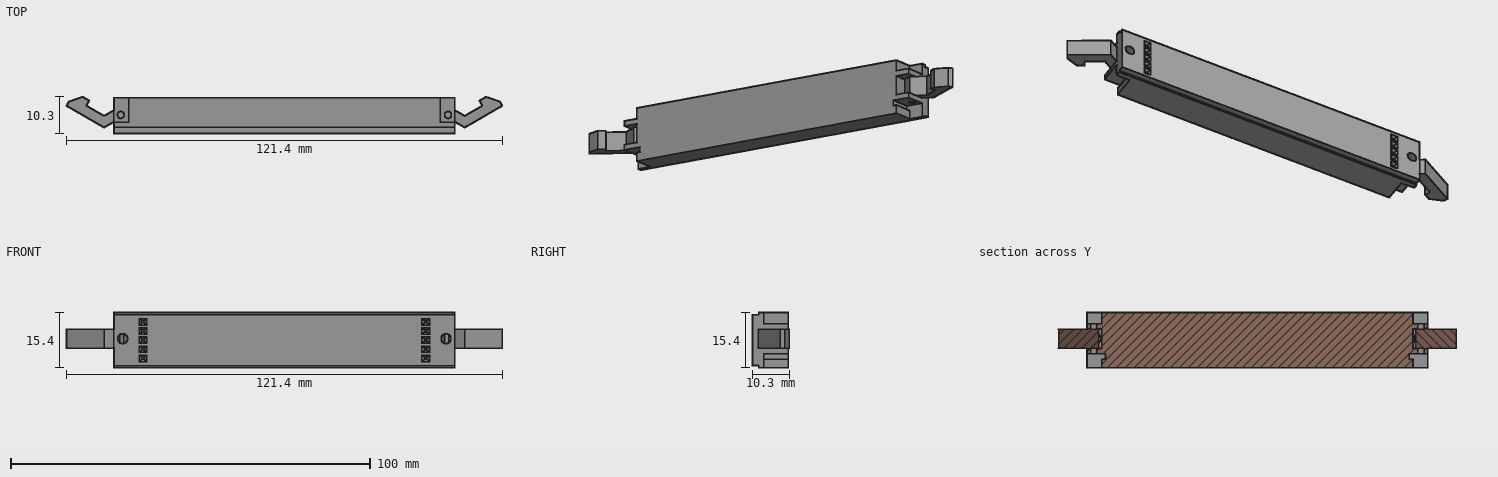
import cadquery as cq
import math

length = 94.9
depth = 10.0
height = 15.4
front_plate_height = 14.2
front_step_depth = 1.7

recess_length = 4.1
recess_front = 3.15
lever_height = 5.4
ear_thickness = 1.5
lever_centre_z = 0.4
undercut_height = 1.5
undercut_length = 1.0

screw_hole_diameter = 2.75
screw_hole_spacing = 90.0
pivot_hole_diameter = 1.9
pivot_inset = 1.9
pivot_y = 5.2

contact_pitch = 2.54
contact_rows = 5
contact_column_pitches = 31
opening_width = 2.2
opening_height = 1.8
opening_floor_size = 0.6
opening_depth = 0.8

bend_angle = math.radians(30)
knee_out = 2.75
knee_y = 1.65
arm_length = 12.13
arm_thickness = 2.85
tip_thickness = 1.4
barb_start = 7.3
barb_peak = 9.45
barb_rise = 4.475
toe_valley_out = -1.65
toe_corner_out = -2.75
toe_thickness = 2.6

half_length = length / 2
bend_slope = math.tan(bend_angle)
overcut = 1.0


def block(x_range, y_range, z_range):
    """Box given by its limits along each axis."""
    size = [high - low for low, high in (x_range, y_range, z_range)]
    return cq.Workplane("XY").box(*size, centered=False).translate((x_range[0], y_range[0], z_range[0]))


def contact_opening(x, z):
    """Rectangular funnel sunk into the front face, tapering to a small square floor."""
    return (
        cq.Workplane("XZ", origin=(x, 0, z))
        .rect(opening_width, opening_height)
        .workplane(offset=-opening_depth)
        .rect(opening_floor_size, opening_floor_size)
        .loft(ruled=True)
    )


def end_cutouts():
    """Cutting solids for the left end: recesses around the ears, lever slot, pivot and screw holes."""
    slot_bottom = lever_centre_z - lever_height / 2
    slot_top = lever_centre_z + lever_height / 2
    ear_bottom = slot_bottom - ear_thickness
    ear_top = slot_top + ear_thickness
    outside_z = height / 2 + overcut

    recess_x = (-half_length - overcut, -half_length + recess_length)
    undercut_x = (-half_length - overcut, -half_length + recess_length + undercut_length)
    recess_y = (recess_front, depth + overcut)

    upper_recess = block(recess_x, recess_y, (ear_top, outside_z))
    lever_slot = block(recess_x, recess_y, (slot_bottom, slot_top))
    lower_recess = block(recess_x, recess_y, (-outside_z, ear_bottom))
    undercut = block(undercut_x, recess_y, (ear_bottom - undercut_height, ear_bottom))

    pivot_holes = (
        cq.Workplane("XY", origin=(-half_length + pivot_inset, pivot_y, ear_bottom))
        .circle(pivot_hole_diameter / 2)
        .extrude(ear_top - ear_bottom)
    )
    screw_hole = (
        cq.Workplane("XZ", origin=(-screw_hole_spacing / 2, 0, lever_centre_z))
        .circle(screw_hole_diameter / 2)
        .extrude(-recess_front)
    )
    return [upper_recess, lever_slot, lower_recess, undercut, pivot_holes, screw_hole]


def make_housing():
    front_plate = block(
        (-half_length, half_length),
        (0, front_step_depth),
        (-front_plate_height / 2, front_plate_height / 2),
    )
    main_block = block(
        (-half_length, half_length),
        (front_step_depth, depth),
        (-height / 2, height / 2),
    )
    housing = front_plate.union(main_block)

    for cutout in end_cutouts():
        housing = housing.cut(cutout).cut(cutout.mirror("YZ"))

    column_x = contact_column_pitches * contact_pitch / 2
    for row in range(contact_rows):
        z = (row - (contact_rows - 1) / 2) * contact_pitch
        for x in (-column_x, column_x):
            housing = housing.cut(contact_opening(x, z))
    return housing


def arm_point(along, across):
    """Point on the lever arm, measured along and across it from the outside of the knee."""
    out = knee_out + along * math.cos(bend_angle) - across * math.sin(bend_angle)
    y = knee_y + along * math.sin(bend_angle) + across * math.cos(bend_angle)
    return out, y


def lever_outline():
    """Outline as (out, y) points: hooked arm, knee, shank and the toe parallel to the arm."""
    knee_inner_y = knee_y + arm_thickness / math.cos(bend_angle)

    valley_y = knee_y + bend_slope * (knee_out - toe_valley_out)
    toe_corner_y = valley_y - bend_slope * (toe_valley_out - toe_corner_out)
    toe_end_out = toe_corner_out - toe_thickness * math.sin(bend_angle)
    toe_end_y = toe_corner_y + toe_thickness * math.cos(bend_angle)

    joint_out = (knee_out + toe_end_out + (knee_inner_y - toe_end_y) / bend_slope) / 2
    joint_y = toe_end_y + bend_slope * (joint_out - toe_end_out)

    return [
        arm_point(0, 0),
        arm_point(arm_length, 0),
        arm_point(arm_length, tip_thickness),
        arm_point(barb_peak, barb_rise),
        arm_point(barb_start, barb_rise),
        arm_point(barb_start, arm_thickness),
        (knee_out, knee_inner_y),
        (joint_out, joint_y),
        (toe_end_out, toe_end_y),
        (toe_corner_out, toe_corner_y),
        (toe_valley_out, valley_y),
    ]


def make_lever(side):
    """Latch lever at the left (side = -1) or right (side = 1) end of the housing."""
    points = [(side * (half_length + out), y) for out, y in lever_outline()]
    bottom_z = lever_centre_z - lever_height / 2
    return cq.Workplane("XY", origin=(0, 0, bottom_z)).polyline(points).close().extrude(lever_height)


housing = make_housing()
levers = [make_lever(side) for side in (-1, 1)]

result = cq.Compound.makeCompound([housing.val(), *[lever.val() for lever in levers]])